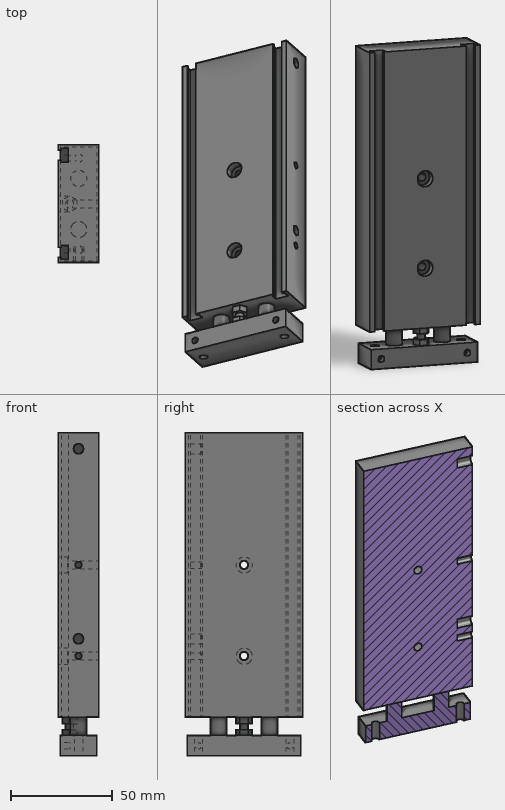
import cadquery as cq
import math

HOUSING_X = 20.0
HOUSING_Y = 58.0
TOTAL_Z = 159.0
HOUSING_BOTTOM = 19.1

SLOT_EDGE_INSET = 5.1
SLOT_MOUTH_WIDTH = 5.0
SLOT_MOUTH_DEPTH = 1.5
SLOT_INNER_WIDTH = 6.8
SLOT_DEPTH = 5.0

MOUNT_HOLE_Z = (49.1, 94.0)
MOUNT_BORE_DIA = 4.0
COUNTERBORE_DIA = 8.0
COUNTERBORE_DEPTH = 4.5
SIDE_HOLE_DIA = 3.2
SIDE_HOLE_DEPTH = 8.0
PORT_Z = (57.5, 151.0)
PORT_DIA = 5.0
PORT_DEPTH = 8.0

PLATE_X = 18.0
PLATE_Y = 56.0
PLATE_Z = 10.0
PLATE_HOLE_Y = 22.5
FACE_HOLE_DIA = 3.2
FACE_HOLE_DEPTH = 4.8
TOP_HOLE_DIA = 4.0
ROD_DIA = 8.0
ROD_Y = 12.5

BOLT_X = -4.5
BOLT_SHANK_DIA = 4.0
HEX_ACROSS_FLATS = 7.0
HEX_ACROSS_CORNERS = HEX_ACROSS_FLATS / math.cos(math.pi / 6)
NUT_HEIGHT = 2.9
HEAD_HEIGHT = 3.2

SIDES = (-1, 1)
FACE_X = -HOUSING_X / 2
SIDE_Y = -HOUSING_Y / 2
PLATE_FACE_X = -PLATE_X / 2


def cylinder(diameter, length, start, direction):
    """Solid cylinder running from a start point along a direction."""
    return cq.Workplane(cq.Solid.makeCylinder(
        diameter / 2, length, cq.Vector(*start), cq.Vector(*direction)))


def slot_layer(y, width, depth):
    """Full-height rectangular groove cut inward from the -X face."""
    return (cq.Workplane("XY")
            .box(depth, width, TOTAL_Z, centered=(False, True, False))
            .translate((FACE_X, y, 0)))


def make_housing():
    height = TOTAL_Z - HOUSING_BOTTOM
    housing = (cq.Workplane("XY", origin=(0, 0, HOUSING_BOTTOM))
               .box(HOUSING_X, HOUSING_Y, height, centered=(True, True, False)))

    for side in SIDES:
        slot_y = side * (HOUSING_Y / 2 - SLOT_EDGE_INSET)
        mouth = slot_layer(slot_y, SLOT_MOUTH_WIDTH, SLOT_DEPTH)
        channel = slot_layer(slot_y, SLOT_INNER_WIDTH, SLOT_DEPTH - SLOT_MOUTH_DEPTH)
        housing = housing.cut(mouth).cut(channel.translate((SLOT_MOUTH_DEPTH, 0, 0)))

    for z in MOUNT_HOLE_Z:
        face_point = (FACE_X, 0, z)
        housing = housing.cut(cylinder(MOUNT_BORE_DIA, HOUSING_X, face_point, (1, 0, 0)))
        housing = housing.cut(cylinder(COUNTERBORE_DIA, COUNTERBORE_DEPTH, face_point, (1, 0, 0)))
        housing = housing.cut(cylinder(SIDE_HOLE_DIA, SIDE_HOLE_DEPTH, (0, SIDE_Y, z), (0, 1, 0)))

    for z in PORT_Z:
        housing = housing.cut(cylinder(PORT_DIA, PORT_DEPTH, (0, SIDE_Y, z), (0, 1, 0)))
    return housing


def make_end_plate():
    """End plate carrying the two guide rods that meet the housing."""
    plate = cq.Workplane("XY").box(PLATE_X, PLATE_Y, PLATE_Z, centered=(True, True, False))
    for side in SIDES:
        hole_y = side * PLATE_HOLE_Y
        face_point = (PLATE_FACE_X, hole_y, PLATE_Z / 2)
        plate = plate.cut(cylinder(FACE_HOLE_DIA, FACE_HOLE_DEPTH, face_point, (1, 0, 0)))
        plate = plate.cut(cylinder(TOP_HOLE_DIA, PLATE_Z, (0, hole_y, 0), (0, 0, 1)))
        rod_length = HOUSING_BOTTOM - PLATE_Z
        plate = plate.union(cylinder(ROD_DIA, rod_length, (0, side * ROD_Y, PLATE_Z), (0, 0, 1)))
    return plate


def hexagon(bottom, height):
    """Hexagonal prism on the bolt axis with two corners along Y."""
    return (cq.Workplane("XY")
            .polygon(6, HEX_ACROSS_CORNERS)
            .extrude(height)
            .rotate((0, 0, 0), (0, 0, 1), 90)
            .translate((BOLT_X, 0, bottom)))


def make_stop_bolt():
    """Bolt with a nut on the plate and a head against the housing."""
    shank = cylinder(BOLT_SHANK_DIA, HOUSING_BOTTOM - PLATE_Z, (BOLT_X, 0, PLATE_Z), (0, 0, 1))
    nut = hexagon(PLATE_Z, NUT_HEIGHT)
    head = hexagon(HOUSING_BOTTOM - HEAD_HEIGHT, HEAD_HEIGHT)
    return shank.union(nut).union(head)


housing = make_housing()
end_plate = make_end_plate()
stop_bolt = make_stop_bolt()

result = cq.Compound.makeCompound([housing.val(), end_plate.val(), stop_bolt.val()])